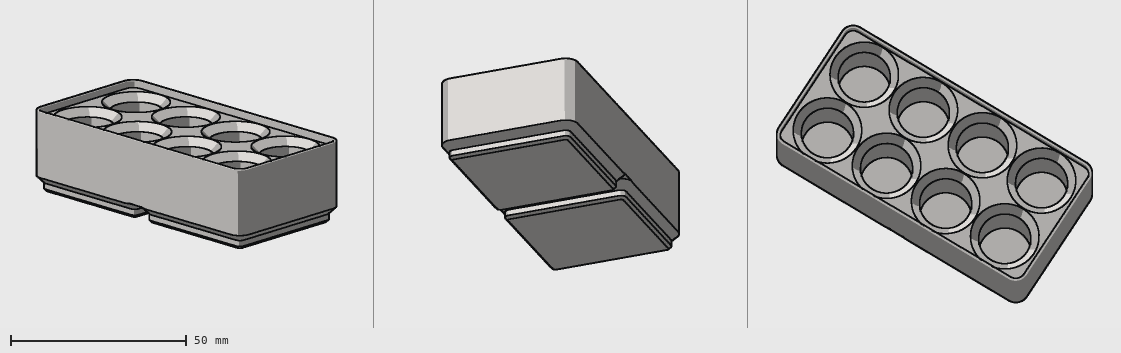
import cadquery as cq

length = 83.5
width = 41.5
height = 24.5
corner_radius = 3.75

foot_count = 2
cell_clearance = 0.25
foot_chamfer = 0.8
foot_straight = 1.75
foot_flare = 2.4
foot_height = foot_chamfer + foot_straight + foot_flare
foot_pitch = length / foot_count + cell_clearance
cell_width = width + 2 * cell_clearance
cell_radius = corner_radius + cell_clearance

rim_height = 2.2
rim_width = 1.0
rim_rounding = 0.3
deck_z = height - rim_height

pocket_columns = 4
pocket_rows = 2
pocket_pitch_x = 19.9
pocket_pitch_y = 19.7
pocket_diameter = 14.9
mouth_diameter = 19.5
mouth_depth = (mouth_diameter - pocket_diameter) / 2
pocket_floor_z = 7.0


def rounded_rectangle(size_x, size_y, radius):
    """Sketch of a rectangle with rounded corners, centred on the origin."""
    return cq.Sketch().rect(size_x, size_y).vertices().fillet(radius)


def rounded_block(inset, bottom_z, top_z):
    """Upright block whose sides lie a constant inset inside the body sides."""
    outline = rounded_rectangle(length - 2 * inset, width - 2 * inset, corner_radius - inset)
    return cq.Workplane("XY", origin=(0, 0, bottom_z)).placeSketch(outline).extrude(top_z - bottom_z)


def foot_outline(inset):
    """Foot cross-section lying a constant inset inside its cell."""
    return rounded_rectangle(foot_pitch - 2 * inset, cell_width - 2 * inset, cell_radius - inset)


def make_foot():
    """One foot: chamfered base, straight band, then a 45 degree flare out to the full cell."""
    flare_z = foot_chamfer + foot_straight
    stem = cq.Workplane("XY").placeSketch(foot_outline(foot_flare)).extrude(flare_z)
    stem = stem.faces("<Z").chamfer(foot_chamfer)
    flare_bottom = foot_outline(foot_flare)
    flare_top = foot_outline(0).moved(cq.Location(cq.Vector(0, 0, foot_flare)))
    flare = cq.Workplane("XY", origin=(0, 0, flare_z)).placeSketch(flare_bottom, flare_top).loft()
    return stem.union(flare)


def make_pocket():
    """Cutter for one pocket: a flat-bottomed bore opening into a cone at the deck."""
    bore_radius = pocket_diameter / 2
    profile = [
        (0, pocket_floor_z),
        (bore_radius, pocket_floor_z),
        (bore_radius, deck_z - mouth_depth),
        (mouth_diameter / 2, deck_z),
        (0, deck_z),
    ]
    return cq.Workplane("XZ").polyline(profile).close().revolve(360, (0, 0, 0), (0, 1, 0))


body = rounded_block(0, foot_height, height)
body = body.cut(rounded_block(rim_width, deck_z, height))
body = body.faces(">Z").edges().fillet(rim_rounding)

envelope = rounded_block(0, 0, foot_height)
foot = make_foot()
for column in range(foot_count):
    foot_x = (column - (foot_count - 1) / 2) * foot_pitch
    body = body.union(foot.translate((foot_x, 0, 0)).intersect(envelope))

pocket_grid = cq.Workplane("XY").rarray(pocket_pitch_x, pocket_pitch_y, pocket_columns, pocket_rows)
pockets = pocket_grid.eachpoint(make_pocket().val(), combine=False)
result = body.cut(pockets)